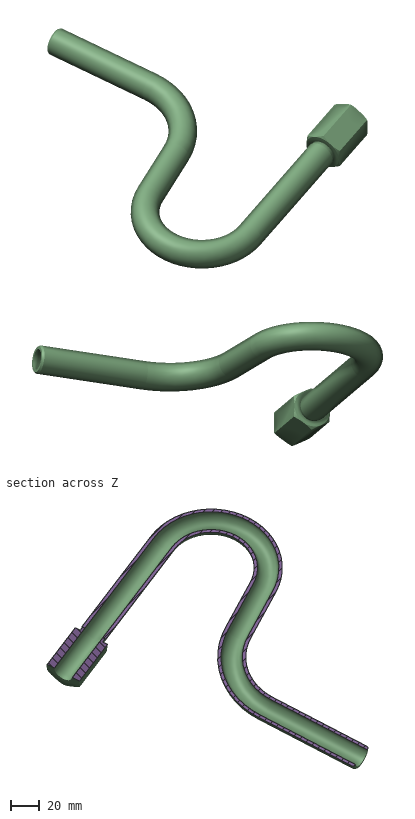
import cadquery as cq
import math

overall_length = 228.5
overall_width = 181.0

pipe_diameter = 20.0
bore_diameter = 14.6
upper_bend_radius = 50.0
lower_bend_radius = 40.0
inlet_y = 130.0
inlet_straight = 80.0
bevel_length = 1.4
bevel_depth = 1.0

nut_across_flats = 27.0
nut_length = 37.2
collar_diameter = 19.0
collar_length = 2.7
nut_inner_face_diameter = nut_across_flats
nut_outer_face_diameter = 27.9
inner_chamfer_length = 1.4
outer_chamfer_length = 0.7

nut_across_corners = nut_across_flats / math.cos(math.radians(30))
outlet_x = overall_length - nut_across_flats / 2
nut_start_y = overall_width - nut_length
pipe_end_y = nut_start_y - collar_length
upper_center = (inlet_straight, inlet_y - upper_bend_radius)
lower_center = (outlet_x - lower_bend_radius, pipe_diameter / 2 + lower_bend_radius)


def point_on_bend(center, radius, angle):
    """Point on a bend's centreline, with the angle in radians from +X."""
    return (center[0] + radius * math.cos(angle), center[1] + radius * math.sin(angle))


def pipe_path():
    """Inlet leg, two opposite bends joined by their common tangent, and outlet leg."""
    dx = lower_center[0] - upper_center[0]
    dy = lower_center[1] - upper_center[1]
    radius_sum = upper_bend_radius + lower_bend_radius
    tangent_angle = math.atan2(dy, dx) + math.acos(radius_sum / math.hypot(dx, dy))
    upper_middle = (math.pi / 2 + tangent_angle) / 2
    lower_start = tangent_angle - math.pi
    return (
        cq.Workplane("XY")
        .moveTo(0, inlet_y)
        .lineTo(inlet_straight, inlet_y)
        .threePointArc(
            point_on_bend(upper_center, upper_bend_radius, upper_middle),
            point_on_bend(upper_center, upper_bend_radius, tangent_angle),
        )
        .lineTo(*point_on_bend(lower_center, lower_bend_radius, lower_start))
        .threePointArc(
            point_on_bend(lower_center, lower_bend_radius, lower_start / 2),
            (outlet_x, lower_center[1]),
        )
        .lineTo(outlet_x, pipe_end_y)
    )


def make_pipe():
    """Hollow bent pipe with a bevelled inlet end."""
    section = (
        cq.Workplane("YZ")
        .center(inlet_y, 0)
        .circle(pipe_diameter / 2)
        .circle(bore_diameter / 2)
    )
    pipe = section.sweep(pipe_path())
    outer_radius = pipe_diameter / 2
    bevel = (
        cq.Workplane("XY")
        .moveTo(0, inlet_y + outer_radius - bevel_depth)
        .lineTo(bevel_length, inlet_y + outer_radius)
        .lineTo(0, inlet_y + outer_radius)
        .close()
        .revolve(360, (0, inlet_y, 0), (1, inlet_y, 0))
    )
    return pipe.cut(bevel)


def nut_chamfer_envelope():
    """Turned body that trims the hexagon's corners at both ends."""
    inner_face_radius = nut_inner_face_diameter / 2
    outer_face_radius = nut_outer_face_diameter / 2
    corner_radius = nut_across_corners / 2
    return (
        cq.Workplane("XY")
        .moveTo(outlet_x, nut_start_y)
        .lineTo(outlet_x + inner_face_radius, nut_start_y)
        .lineTo(outlet_x + corner_radius, nut_start_y + inner_chamfer_length)
        .lineTo(outlet_x + corner_radius, overall_width - outer_chamfer_length)
        .lineTo(outlet_x + outer_face_radius, overall_width)
        .lineTo(outlet_x, overall_width)
        .close()
        .revolve(360, (outlet_x, 0, 0), (outlet_x, 1, 0))
    )


def outlet_plane(y):
    """Plane across the outlet axis, facing +Y, with its local X along Z."""
    return cq.Workplane(cq.Plane(origin=(outlet_x, y, 0), xDir=(0, 0, 1), normal=(0, 1, 0)))


def make_nut():
    """Hexagonal nut, corners up and down, with its collar butting on the pipe end."""
    hexagon = outlet_plane(nut_start_y).polygon(6, nut_across_corners).extrude(nut_length)
    collar = outlet_plane(pipe_end_y).circle(collar_diameter / 2).extrude(collar_length)
    bore = outlet_plane(pipe_end_y).circle(bore_diameter / 2).extrude(collar_length + nut_length)
    return hexagon.intersect(nut_chamfer_envelope()).union(collar).cut(bore)


pipe = make_pipe()
nut = make_nut()

result = cq.Compound.makeCompound([pipe.val(), nut.val()])